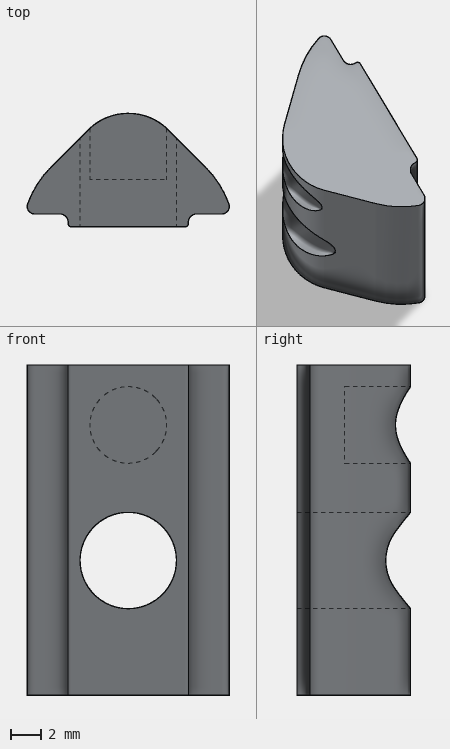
import cadquery as cq
import math

length = 22.0
width = 13.46
height = 7.57

crown_radius = 3.76
flank_end_drop = 3.6
flank_angle = math.radians(45)
tip_radius = 0.5
tongue_width = 8.0
tongue_height = 0.85
tongue_root_radius = 0.55
tongue_edge_radius = 0.22

through_diameter = 6.4
through_z = 8.98
blind_diameter = 5.1
blind_z = 18.0
blind_depth = 4.4

normal_x = math.sin(flank_angle)
normal_y = math.cos(flank_angle)


def on_circle(center, radius, angle):
    """Point on a circle, with the angle measured from +X."""
    return (center[0] + radius * math.cos(angle), center[1] + radius * math.sin(angle))


def mirrored(point):
    """Same point on the other side of the YZ plane."""
    return (-point[0], point[1])


def make_body():
    """Extrude the section: crown, sloping flanks, rounded tips and a tongue below."""
    crown_top = (0, height)
    crown_end = (crown_radius * normal_x, height - crown_radius * (1 - normal_y))
    flank_end_y = height - flank_end_drop
    flank_run = (crown_end[1] - flank_end_y) / math.tan(flank_angle)
    flank_end = (crown_end[0] + flank_run, flank_end_y)

    tip_center = (width / 2 - tip_radius, tongue_height + tip_radius)
    offset_x = flank_end[0] - tip_center[0]
    offset_y = flank_end[1] - tip_center[1]
    normal_offset = offset_x * normal_x + offset_y * normal_y
    arc_radius = (offset_x**2 + offset_y**2 - tip_radius**2) / (2 * (normal_offset - tip_radius))
    arc_center = (flank_end[0] - arc_radius * normal_x, flank_end[1] - arc_radius * normal_y)
    start_angle = math.pi / 2 - flank_angle
    end_angle = math.atan2(tip_center[1] - arc_center[1], tip_center[0] - arc_center[0])
    arc_middle = on_circle(arc_center, arc_radius, (start_angle + end_angle) / 2)
    arc_end = on_circle(arc_center, arc_radius, end_angle)

    tip_middle = on_circle(tip_center, tip_radius, (end_angle - math.pi / 2) / 2)
    tip_end = (tip_center[0], tongue_height)
    root = (tongue_width / 2, tongue_height)
    foot = (tongue_width / 2, 0)

    body = (
        cq.Workplane("XY")
        .moveTo(*mirrored(crown_end))
        .threePointArc(crown_top, crown_end)
        .lineTo(*flank_end)
        .threePointArc(arc_middle, arc_end)
        .threePointArc(tip_middle, tip_end)
        .lineTo(*root)
        .lineTo(*foot)
        .lineTo(*mirrored(foot))
        .lineTo(*mirrored(root))
        .lineTo(*mirrored(tip_end))
        .threePointArc(mirrored(tip_middle), mirrored(arc_end))
        .threePointArc(mirrored(arc_middle), mirrored(flank_end))
        .close()
        .extrude(length)
        .translate((0, -height / 2, -length / 2))
    )
    return round_tongue(body)


def round_tongue(body):
    """Round the inner corners and the outer edges along the tongue."""
    for y, radius in ((tongue_height, tongue_root_radius), (0, tongue_edge_radius)):
        for side in (-1, 1):
            corner = (side * tongue_width / 2, y - height / 2, 0)
            body = body.edges(cq.selectors.NearestToPointSelector(corner)).fillet(radius)
    return body


def hole(diameter, z, depth):
    """Cylinder running from the crown top towards -Y; z is measured from the lower end."""
    start = cq.Vector(0, height / 2, z - length / 2)
    return cq.Solid.makeCylinder(diameter / 2, depth, start, cq.Vector(0, -1, 0))


result = (
    make_body()
    .cut(hole(through_diameter, through_z, height))
    .cut(hole(blind_diameter, blind_z, blind_depth))
)